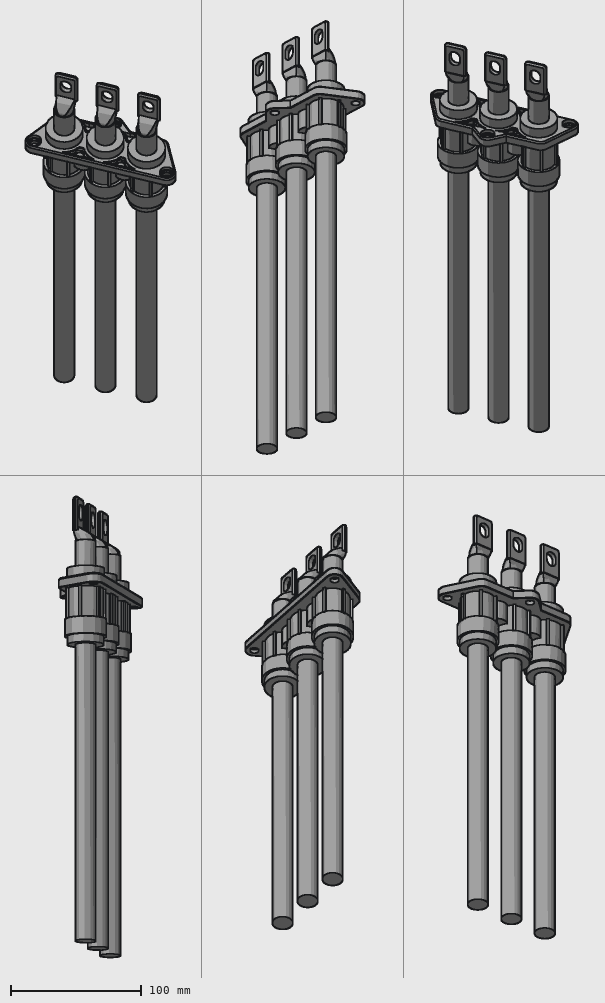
import math

import cadquery as cq

pitch = 33.0
cable_positions = [-pitch, 0.0, pitch]
gap_positions = [-pitch / 2, pitch / 2]

cable_dia = 15.8
sleeve_dia = 27.0
lower_collar_dia = 28.05
upper_collar_dia = 28.5
ring_dia = 31.87

collar_bottom = 230.0
ring_bottom = 236.4
ring_top = 249.6
web_bottom = 257.4
flange_bottom = 273.4
flange_top = 280.9
collar_top = 289.1
cable_top = 310.4
overall_height = 344.3

rib_angles = [60, 120, 240, 300]
rib_width = 2.0
rib_tip_radius = 15.4

overall_width = 120.0
overall_depth = 48.97
corner_radius = 7.0
plate_half_depth = 19.3
ear_x = overall_width / 2 - corner_radius
ear_y = -plate_half_depth + corner_radius
shoulder_x = 39.5
shoulder_y = plate_half_depth - corner_radius
peak_y = overall_depth - plate_half_depth - corner_radius
peak_base_x = 11.1
top_chamfer = 1.2
bottom_chamfer = 0.4

hole_dia = 6.6
counterbore_dia = 10.6
counterbore_depth = 3.0
hole_chamfer = 1.0

shelf_radius = 17.0
floor_radius = 19.0
shelf_depth = 1.0
floor_depth = 4.0
pocket_tip_y = 8.0
pocket_tip_radius = 3.5
pocket_rim = 2.8

web_width = 11.4
web_edge_y = 8.4
web_crown_y = 10.5

tab_width = 17.6
tab_thickness = 4.0
tab_back_y = cable_dia / 2
tab_mid_y = tab_back_y - tab_thickness / 2
tab_bottom = 318.0
tab_corner_radius = 3.0
tab_edge_chamfer = 1.4
slot_width = 8.6
slot_length = 12.2
slot_center_z = 332.6
neck_radius = 7.2
neck_front_half = 1.6
neck_middle = 315.5
neck_middle_half = 4.8
neck_middle_front_y = -4.6
neck_side_y = 1.9
neck_top = 320.6
neck_back_inset = 0.8


def cylinder(diameter, bottom, top, x=0.0, y=0.0):
    return cq.Workplane("XY", origin=(x, y, bottom)).circle(diameter / 2).extrude(top - bottom)


def tangent_plate(centers):
    """Plate covering the circles at the given convex ring of centers and the area between them."""
    height = flange_top - flange_bottom
    base = cq.Workplane("XY", origin=(0, 0, flange_bottom))
    outline = []
    for (x0, y0), (x1, y1) in zip(centers, centers[1:] + centers[:1]):
        length = math.hypot(x1 - x0, y1 - y0)
        shift_x = corner_radius * (y1 - y0) / length
        shift_y = -corner_radius * (x1 - x0) / length
        outline.append((x0 + shift_x, y0 + shift_y))
        outline.append((x1 + shift_x, y1 + shift_y))
    plate = base.polyline(outline).close().extrude(height)
    return plate.union(base.pushPoints(centers).circle(corner_radius).extrude(height))


def make_pocket(depth, island_radius, tip_y, side):
    """Pocket between two cables, opening toward the edge on the given side (+1 or -1 in Y)."""
    outer_y = plate_half_depth - pocket_rim
    blank = cq.Workplane("XY", origin=(0, side * (tip_y + outer_y) / 2, flange_top - depth))
    pocket = blank.rect(pitch, outer_y - tip_y).extrude(depth)
    for x in gap_positions:
        pocket = pocket.cut(cylinder(2 * island_radius, flange_top - depth, flange_top, x))
    tip = cylinder(2 * pocket_tip_radius, flange_top - depth, flange_top, 0,
                   side * (tip_y + pocket_tip_radius))
    return pocket.union(tip)


def make_hole_chamfer():
    """Cone that breaks the hole edge at a counterbore floor at Z = 0."""
    radius = hole_dia / 2
    return cq.Workplane("XY").add(
        cq.Solid.makeCone(radius, radius + hole_chamfer, hole_chamfer, pnt=cq.Vector(0, 0, -hole_chamfer))
    )


def make_flange():
    main_centers = [
        (-ear_x, ear_y),
        (ear_x, ear_y),
        (shoulder_x, shoulder_y),
        (-shoulder_x, shoulder_y),
    ]
    peak_centers = [(-peak_base_x, shoulder_y), (peak_base_x, shoulder_y), (0, peak_y)]
    flange = tangent_plate(main_centers).union(tangent_plate(peak_centers)).clean()
    flange = flange.faces(">Z").chamfer(top_chamfer).faces("<Z").chamfer(bottom_chamfer)

    for x in gap_positions:
        for side in (-1, 1):
            shelf = make_pocket(shelf_depth, shelf_radius, pocket_tip_y, side)
            floor = make_pocket(floor_depth, floor_radius, pocket_tip_y + floor_radius - shelf_radius, side)
            flange = flange.cut(shelf.union(floor).translate((x, 0, 0)))

    for x, y in [(-ear_x, ear_y), (ear_x, ear_y), (0, peak_y)]:
        flange = flange.cut(cylinder(hole_dia, flange_bottom, flange_top, x, y))
        flange = flange.cut(cylinder(counterbore_dia, flange_top - counterbore_depth, flange_top, x, y))
        flange = flange.cut(make_hole_chamfer().translate((x, y, flange_top - counterbore_depth)))
    return flange


def make_web():
    half = web_width / 2
    return (
        cq.Workplane("XY", origin=(0, 0, web_bottom))
        .moveTo(-half, -web_edge_y)
        .threePointArc((0, -web_crown_y), (half, -web_edge_y))
        .lineTo(half, web_edge_y)
        .threePointArc((0, web_crown_y), (-half, web_edge_y))
        .close()
        .extrude(flange_bottom - web_bottom)
    )


def make_rib(angle):
    rib = cq.Workplane("XY", origin=(rib_tip_radius / 2, 0, ring_top)).rect(rib_tip_radius, rib_width)
    return rib.extrude(flange_bottom - ring_top).rotate((0, 0, 0), (0, 0, 1), angle)


def make_sleeve():
    sleeve = cylinder(sleeve_dia, ring_top, flange_bottom)
    for angle in rib_angles:
        sleeve = sleeve.union(make_rib(angle))
    sleeve = sleeve.union(cylinder(ring_dia, ring_bottom, ring_top))
    sleeve = sleeve.union(cylinder(lower_collar_dia, collar_bottom, ring_bottom))
    return sleeve.union(cylinder(upper_collar_dia, flange_bottom, collar_top))


def make_neck():
    """Transition from the round cable end through a bulged middle to the flat lug tab."""
    diagonal = neck_radius * math.sqrt(0.5)
    front_y = -math.sqrt(neck_radius**2 - neck_front_half**2)
    half = tab_width / 2 - tab_edge_chamfer
    tab_front_y = tab_back_y - tab_thickness
    back_y = tab_back_y - neck_back_inset
    return (
        cq.Workplane("XY", origin=(0, 0, cable_top))
        .moveTo(-neck_front_half, front_y)
        .lineTo(neck_front_half, front_y)
        .threePointArc((neck_radius, 0), (diagonal, diagonal))
        .threePointArc((0, neck_radius), (-diagonal, diagonal))
        .threePointArc((-neck_radius, 0), (-neck_front_half, front_y))
        .close()
        .workplane(offset=neck_middle - cable_top)
        .moveTo(-neck_middle_half, neck_middle_front_y)
        .lineTo(neck_middle_half, neck_middle_front_y)
        .threePointArc((neck_radius, neck_side_y), (neck_radius, back_y))
        .lineTo(-neck_radius, back_y)
        .threePointArc((-neck_radius, neck_side_y), (-neck_middle_half, neck_middle_front_y))
        .close()
        .workplane(offset=neck_top - neck_middle)
        .polyline([(-half, tab_front_y), (half, tab_front_y), (half, back_y), (-half, back_y)])
        .close()
        .loft()
    )


def make_lug():
    height = overall_height - tab_bottom
    tab = cq.Workplane("XY", origin=(0, tab_mid_y, tab_bottom)).rect(tab_width, tab_thickness).extrude(height)
    tab = tab.edges("|Y and >Z").fillet(tab_corner_radius)
    tab = tab.faces("<Y or >Y").edges("|Z").chamfer(tab_edge_chamfer)
    slot = (
        cq.Workplane("XZ", origin=(0, tab_back_y, slot_center_z))
        .slot2D(slot_length, slot_width, 90)
        .extrude(tab_thickness)
    )
    return tab.cut(slot).union(make_neck())


def make_cable_unit():
    return cylinder(cable_dia, 0, cable_top).union(make_sleeve()).union(make_lug())


cable_unit = make_cable_unit()
result = make_flange()
for x in gap_positions:
    result = result.union(make_web().translate((x, 0, 0)))
for x in cable_positions:
    result = result.union(cable_unit.translate((x, 0, 0)))
for x, angle in [(-pitch, 180), (pitch, 0)]:
    result = result.union(make_rib(angle).translate((x, 0, 0)))